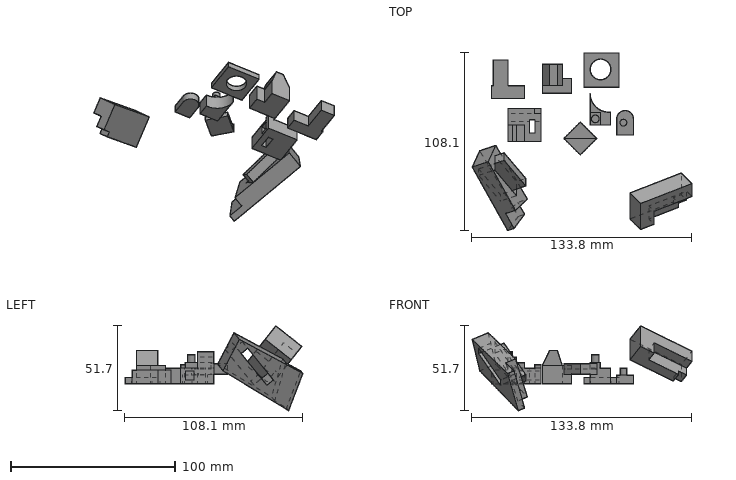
import cadquery as cq
import math


def block(x, y, z, width, depth, height):
    """Box placed by its lower -X, -Y corner."""
    return cq.Workplane("XY").box(width, depth, height, centered=False).translate((x, y, z))


def peg(x, y, z, diameter, height):
    """Upright round peg standing on the point (x, y, z)."""
    return cq.Workplane("XY").circle(diameter / 2).extrude(height).translate((x, y, z))


def tilt(body, about_y, about_x, corner):
    """Turn a body about Y, then about X, and carry its local origin to corner."""
    origin = (0, 0, 0)
    turned = body.rotate(origin, (0, 1, 0), about_y).rotate(origin, (1, 0, 0), about_x)
    return turned.translate(corner)



SET_LENGTH = 133.8

PLATE_CORNER = (1.1, 33.0, 0)
PLATE_WIDTH = 21.5
PLATE_DEPTH = 21.0
PLATE_THICKNESS = 3.9
PLATE_HOLE_DIAMETER = 12.5
PLATE_HOLE_X = 10.2
PLATE_HOLE_Y = 11.0


def make_holed_plate():
    plate = block(0, 0, 0, PLATE_WIDTH, PLATE_DEPTH, PLATE_THICKNESS)
    hole = peg(PLATE_HOLE_X, PLATE_HOLE_Y, 0, PLATE_HOLE_DIAMETER, PLATE_THICKNESS)
    return plate.cut(hole).translate(PLATE_CORNER)


ELL_CORNER = (-55.1, 26.2, 0)
ELL_FOOT_LENGTH = 20.2
ELL_FOOT_WIDTH = 7.9
ELL_STEM_INSET = 1.0
ELL_STEM_WIDTH = 9.2
ELL_LENGTH = 23.7
ELL_HEIGHT = 8.3


def make_ell_block():
    foot = block(0, 0, 0, ELL_FOOT_LENGTH, ELL_FOOT_WIDTH, ELL_HEIGHT)
    stem = block(ELL_STEM_INSET, 0, 0, ELL_STEM_WIDTH, ELL_LENGTH, ELL_HEIGHT)
    return foot.union(stem).translate(ELL_CORNER)


RIDGE_CORNER = (-24.2, 29.5, 0)
RIDGE_BASE_LENGTH = 18.0
RIDGE_BASE_WIDTH = 9.1
RIDGE_BASE_HEIGHT = 11.2
RIDGE_ARM_WIDTH = 12.5
RIDGE_ARM_LENGTH = 17.8
RIDGE_START = 4.7
RIDGE_WIDTH = 12.2
RIDGE_TOP_START = 4.4
RIDGE_TOP_END = 9.2
RIDGE_HEIGHT = 9.1


def make_ridge_block():
    foot = block(0, 0, 0, RIDGE_BASE_LENGTH, RIDGE_BASE_WIDTH, RIDGE_BASE_HEIGHT)
    arm = block(0, 0, 0, RIDGE_ARM_WIDTH, RIDGE_ARM_LENGTH, RIDGE_BASE_HEIGHT)
    ridge_top = RIDGE_BASE_HEIGHT + RIDGE_HEIGHT
    ridge = (
        cq.Workplane("XZ", origin=(0, RIDGE_ARM_LENGTH, 0))
        .polyline([
            (0, RIDGE_BASE_HEIGHT),
            (RIDGE_WIDTH, RIDGE_BASE_HEIGHT),
            (RIDGE_TOP_END, ridge_top),
            (RIDGE_TOP_START, ridge_top),
        ])
        .close()
        .extrude(RIDGE_ARM_LENGTH - RIDGE_START)
    )
    return foot.union(arm).union(ridge).translate(RIDGE_CORNER)


BRACKET_CORNER = (5.0, 10.2, 0)
BRACKET_WIDTH = 12.5
BRACKET_FOOT_DEPTH = 7.9
BRACKET_FLANK_RADIUS = 11.4
BRACKET_HEIGHT = 9.5
PAD_WIDTH = 6.2
PAD_DEPTH = 7.5
PAD_HEIGHT = 3.5
PAD_PEG_DIAMETER = 4.7
PAD_PEG_HEIGHT = 4.8


def make_bracket():
    flank_top = BRACKET_FOOT_DEPTH + BRACKET_FLANK_RADIUS
    body = (
        cq.Workplane("XY")
        .lineTo(BRACKET_WIDTH, 0)
        .lineTo(BRACKET_WIDTH, BRACKET_FOOT_DEPTH)
        .lineTo(BRACKET_FLANK_RADIUS, BRACKET_FOOT_DEPTH)
        .radiusArc((0, flank_top), BRACKET_FLANK_RADIUS)
        .close()
        .extrude(BRACKET_HEIGHT)
    )
    pad = block(0, 0, BRACKET_HEIGHT, PAD_WIDTH, PAD_DEPTH, PAD_HEIGHT)
    pad_peg = peg(
        PAD_WIDTH / 2, PAD_DEPTH / 2, BRACKET_HEIGHT + PAD_HEIGHT, PAD_PEG_DIAMETER, PAD_PEG_HEIGHT
    )
    return body.union(pad).union(pad_peg).translate(BRACKET_CORNER)


TAB_CORNER = (21.0, 4, 0)
TAB_WIDTH = 10.3
TAB_STRAIGHT_LENGTH = 9.9
TAB_HEIGHT = 5.2
TAB_PEG_X = 4.1
TAB_PEG_Y = 7.6
TAB_PEG_DIAMETER = 4.1
TAB_PEG_HEIGHT = 4.3


def make_tab():
    straight = block(0, 0, 0, TAB_WIDTH, TAB_STRAIGHT_LENGTH, TAB_HEIGHT)
    round_end = peg(TAB_WIDTH / 2, TAB_STRAIGHT_LENGTH, 0, TAB_WIDTH, TAB_HEIGHT)
    tab_peg = peg(TAB_PEG_X, TAB_PEG_Y, TAB_HEIGHT, TAB_PEG_DIAMETER, TAB_PEG_HEIGHT)
    return straight.union(round_end).union(tab_peg).translate(TAB_CORNER)


STAIR_CORNER = (-45.1, 0.1, 0)
STAIR_BLOCK_SIDE = 20.2
STAIR_BLOCK_HEIGHT = 9.5
STAIR_DEPTH = 10.0
STEP_RISE = 3.3
STEP_ENDS = (10.2, 5.2, 2.7)
SLOT_X = 13.1
SLOT_Y = 5.2
SLOT_WIDTH = 3.2
SLOT_LENGTH = 8
CROSS_HOLE_Y = 12.2
CROSS_HOLE_Z = 2.4
CROSS_HOLE_WIDTH = 5.0
CROSS_HOLE_HEIGHT = 5.4
CORNER_PAD_WIDTH = 4
CORNER_PAD_DEPTH = 3.1
CORNER_PAD_HEIGHT = 2.1


def make_stair_block():
    body = block(0, 0, 0, STAIR_BLOCK_SIDE, STAIR_BLOCK_SIDE, STAIR_BLOCK_HEIGHT)
    for level, step_end in enumerate(STEP_ENDS):
        step_base = STAIR_BLOCK_HEIGHT + level * STEP_RISE
        body = body.union(block(0, 0, step_base, step_end, STAIR_DEPTH, STEP_RISE))
    corner_pad = block(
        STAIR_BLOCK_SIDE - CORNER_PAD_WIDTH,
        STAIR_BLOCK_SIDE - CORNER_PAD_DEPTH,
        STAIR_BLOCK_HEIGHT,
        CORNER_PAD_WIDTH,
        CORNER_PAD_DEPTH,
        CORNER_PAD_HEIGHT,
    )
    slot = block(SLOT_X, SLOT_Y, 0, SLOT_WIDTH, SLOT_LENGTH, STAIR_BLOCK_HEIGHT)
    cross_hole = block(
        0, CROSS_HOLE_Y, CROSS_HOLE_Z, STAIR_BLOCK_SIDE, CROSS_HOLE_WIDTH, CROSS_HOLE_HEIGHT
    )
    return body.union(corner_pad).cut(slot).cut(cross_hole).translate(STAIR_CORNER)


DIAMOND_CENTRE = (-1.1, 2.0, 5.8)
DIAMOND_HALF_DIAGONAL = 10.0
DIAMOND_HEIGHT = 6.5
DIAMOND_BACK_HEIGHT = DIAMOND_HEIGHT / 2


def make_diamond():
    r = DIAMOND_HALF_DIAGONAL
    outline = [(-r, 0), (0, -r), (r, 0), (0, r)]
    diamond = cq.Workplane("XY").polyline(outline).close().extrude(DIAMOND_HEIGHT)
    back_cut = block(-r, 0, DIAMOND_BACK_HEIGHT, 2 * r, r, DIAMOND_HEIGHT - DIAMOND_BACK_HEIGHT)
    return diamond.cut(back_cut).translate(DIAMOND_CENTRE)


WEDGE_TURN_Y = 61.9
WEDGE_TURN_X = -39
WEDGE_PIVOT = (-SET_LENGTH / 2, -15.4, 27.0)
WEDGE_CORNERS = [(0, 0), (45.9, -17.0), (59.7, 4), (9.8, 19.8)]
WEDGE_UPPER_NEAR_LENGTH = 37.5
WEDGE_UPPER_FAR_LENGTH = 43.0
WEDGE_LOWER_THICKNESS = 4.4
WEDGE_THICKNESS = 11.1
WEDGE_BAR_START = 8.4
WEDGE_BAR_LENGTH = 28.1
WEDGE_SLOT_Y = -0.5
WEDGE_SLOT_WIDTH = 5.1
WEDGE_BAR_Y = WEDGE_SLOT_Y + WEDGE_SLOT_WIDTH
WEDGE_BAR_WIDTH = 6.0
WEDGE_BAR_HEIGHT = 6.4


def point_along(start, end, distance):
    """Point on the line from start towards end, at a distance from start."""
    fraction = distance / math.dist(start, end)
    return (
        start[0] + fraction * (end[0] - start[0]),
        start[1] + fraction * (end[1] - start[1]),
    )


def make_tilted_wedge():
    pivot, near_end, far_end, far_start = WEDGE_CORNERS
    upper_corners = [
        pivot,
        point_along(pivot, near_end, WEDGE_UPPER_NEAR_LENGTH),
        point_along(far_start, far_end, WEDGE_UPPER_FAR_LENGTH),
        far_start,
    ]
    lower = cq.Workplane("XY").polyline(WEDGE_CORNERS).close().extrude(WEDGE_LOWER_THICKNESS)
    upper = (
        cq.Workplane("XY", origin=(0, 0, WEDGE_LOWER_THICKNESS))
        .polyline(upper_corners)
        .close()
        .extrude(WEDGE_THICKNESS - WEDGE_LOWER_THICKNESS)
    )
    slot = block(WEDGE_BAR_START, WEDGE_SLOT_Y, 0, WEDGE_BAR_LENGTH, WEDGE_SLOT_WIDTH, WEDGE_THICKNESS)
    bar = block(
        WEDGE_BAR_START, WEDGE_BAR_Y, WEDGE_THICKNESS, WEDGE_BAR_LENGTH, WEDGE_BAR_WIDTH, WEDGE_BAR_HEIGHT
    )
    flat = lower.union(upper).cut(slot).union(bar)
    return tilt(flat, WEDGE_TURN_Y, WEDGE_TURN_X, WEDGE_PIVOT)


BAR_TURN_Y = 32.1
BAR_TURN_X = 38.3
BAR_LENGTH = 37.0
BAR_DEPTH = 20.2
BAR_HEIGHT = 12.3
BAR_HEAD_LENGTH = 9.8
BAR_RECESS_DEPTH = BAR_DEPTH / 2
BAR_LEDGE_HEIGHT = BAR_HEIGHT / 2
BAR_NOTCH_START = 31.2
BAR_NOTCH_DEPTH = 3.3
BAR_REACH = (
    BAR_LENGTH * math.cos(math.radians(BAR_TURN_Y)) + BAR_HEIGHT * math.sin(math.radians(BAR_TURN_Y))
)
BAR_PIVOT = (SET_LENGTH / 2 - BAR_REACH, -47.0, 14.6)


def make_tilted_bar():
    body = block(0, 0, 0, BAR_LENGTH, BAR_DEPTH, BAR_HEIGHT)
    recess = block(
        BAR_HEAD_LENGTH,
        0,
        BAR_LEDGE_HEIGHT,
        BAR_LENGTH - BAR_HEAD_LENGTH,
        BAR_RECESS_DEPTH,
        BAR_HEIGHT - BAR_LEDGE_HEIGHT,
    )
    notch = block(BAR_NOTCH_START, 0, 0, BAR_LENGTH - BAR_NOTCH_START, BAR_NOTCH_DEPTH, BAR_LEDGE_HEIGHT)
    return tilt(body.cut(recess).cut(notch), BAR_TURN_Y, BAR_TURN_X, BAR_PIVOT)


holed_plate = make_holed_plate()
ell_block = make_ell_block()
ridge_block = make_ridge_block()
bracket = make_bracket()
tab = make_tab()
stair_block = make_stair_block()
diamond = make_diamond()
tilted_wedge = make_tilted_wedge()
tilted_bar = make_tilted_bar()

result = cq.Compound.makeCompound([
    holed_plate.val(),
    ell_block.val(),
    ridge_block.val(),
    bracket.val(),
    tab.val(),
    stair_block.val(),
    diamond.val(),
    tilted_wedge.val(),
    tilted_bar.val(),
])